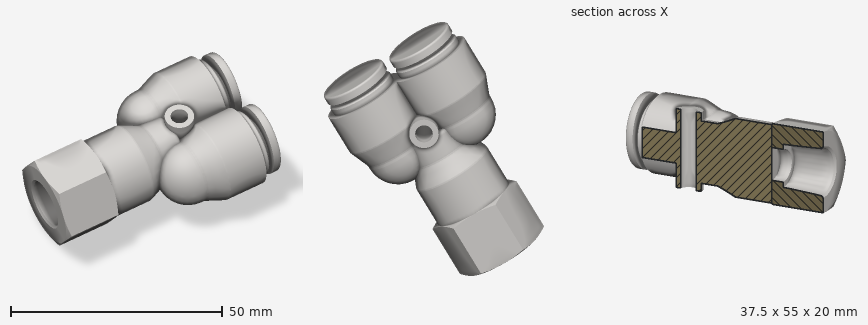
import cadquery as cq
import math


OVERALL_LENGTH = 55.0
NUT_LENGTH = 14.1
STEM_CONE_START = 24.15
STEM_CONE_END = 29.0
STEM_END = 35.0
DOME_CENTER = 34.05
PORT_CONE_START = 34.9
PORT_CONE_END = 40.0
PORT_FACE = 49.9
COLLAR_FACE = 51.7
FLANGE_BACK = 52.9
EYELET_Y = 37.0

BARREL_DIA = 19.5
SLIM_DIA = 15.5
OVERALL_WIDTH = 37.5
PORT_OFFSET = (OVERALL_WIDTH - BARREL_DIA) / 2
PORT_PLACES = (-PORT_OFFSET, PORT_OFFSET)
BLEND_RADIUS = 1.0
EYELET_DIA = 7.0
EYELET_HOLE_DIA = 4.2

HEX_SIDES = 6
NUT_ACROSS_FLATS = 20.0
NUT_BEVEL_ANGLE = 22.0
THREAD_MOUTH_DIA = 11.55
THREAD_FLOOR_DIA = 10.5
THREAD_DEPTH = 11.0
THREAD_CHAMFER = 0.5
PASSAGE_DIA = 8.0

COLLAR_DIA = 16.5
COLLAR_CHAMFER = 0.3
NECK_DIA = 11.7
FLANGE_WIDTH = 16.3
FLANGE_HEIGHT = 18.65
FLANGE_ROUND = 0.5


def disk(diameter, y_start, y_end):
    """Cylinder along Y, centred on X = 0, Z = 0."""
    plane = cq.Workplane("XZ", origin=(0, y_start, 0))
    return plane.circle(diameter / 2).extrude(y_start - y_end)


def revolve_about_y(profile):
    """Full turn of an XY profile about the Y axis."""
    return profile.revolve(360, (0, 0, 0), (0, 1, 0))


def round_edges_at(shape, y_places):
    """Blend the circular edges that lie at the given Y places."""
    circles = shape.edges("%CIRCLE")
    chosen = circles.filter(lambda edge: round(edge.Center().y, 3) in y_places)
    return chosen.fillet(BLEND_RADIUS)



def make_stem():
    profile = (
        cq.Workplane("XY")
        .moveTo(0, NUT_LENGTH)
        .lineTo(BARREL_DIA / 2, NUT_LENGTH)
        .lineTo(BARREL_DIA / 2, STEM_CONE_START)
        .lineTo(SLIM_DIA / 2, STEM_CONE_END)
        .lineTo(SLIM_DIA / 2, STEM_END)
        .lineTo(0, STEM_END)
        .close()
    )
    return round_edges_at(revolve_about_y(profile), [STEM_CONE_START, STEM_CONE_END, STEM_END])


def make_port():
    dome_radius = SLIM_DIA / 2
    dome_diagonal = dome_radius * math.sqrt(0.5)
    profile = (
        cq.Workplane("XY")
        .moveTo(0, DOME_CENTER - dome_radius)
        .threePointArc((dome_diagonal, DOME_CENTER - dome_diagonal), (dome_radius, DOME_CENTER))
        .lineTo(dome_radius, PORT_CONE_START)
        .lineTo(BARREL_DIA / 2, PORT_CONE_END)
        .lineTo(BARREL_DIA / 2, PORT_FACE)
        .lineTo(0, PORT_FACE)
        .close()
    )
    return round_edges_at(revolve_about_y(profile), [PORT_CONE_START, PORT_CONE_END])


def make_body():
    body = make_stem()
    for x in PORT_PLACES:
        body = body.union(make_port().translate((x, 0, 0)))
    eyelet_plane = cq.Workplane("XY", origin=(0, EYELET_Y, 0))
    eyelet = eyelet_plane.circle(EYELET_DIA / 2).extrude(BARREL_DIA / 2, both=True)
    hole = eyelet_plane.circle(EYELET_HOLE_DIA / 2).extrude(BARREL_DIA / 2, both=True)
    return body.union(eyelet).cut(hole)



def make_nut_blank():
    across_corners = NUT_ACROSS_FLATS / math.cos(math.pi / HEX_SIDES)
    hexagon = cq.Workplane("XZ").polygon(HEX_SIDES, across_corners).extrude(-NUT_LENGTH)
    corner_overhang = (across_corners - NUT_ACROSS_FLATS) / 2
    bevel_height = corner_overhang * math.tan(math.radians(NUT_BEVEL_ANGLE))
    bevelled_envelope = (
        cq.Workplane("XY")
        .moveTo(0, 0)
        .lineTo(NUT_ACROSS_FLATS / 2, 0)
        .lineTo(across_corners / 2, bevel_height)
        .lineTo(across_corners / 2, NUT_LENGTH - bevel_height)
        .lineTo(NUT_ACROSS_FLATS / 2, NUT_LENGTH)
        .lineTo(0, NUT_LENGTH)
        .close()
    )
    return hexagon.intersect(revolve_about_y(bevelled_envelope))


def make_nut_bore():
    mouth_radius = THREAD_MOUTH_DIA / 2
    profile = (
        cq.Workplane("XY")
        .moveTo(0, 0)
        .lineTo(mouth_radius + THREAD_CHAMFER, 0)
        .lineTo(mouth_radius, THREAD_CHAMFER)
        .lineTo(THREAD_FLOOR_DIA / 2, THREAD_DEPTH)
        .lineTo(PASSAGE_DIA / 2, THREAD_DEPTH)
        .lineTo(PASSAGE_DIA / 2, NUT_LENGTH)
        .lineTo(0, NUT_LENGTH)
        .close()
    )
    return revolve_about_y(profile)


def make_nut():
    return make_nut_blank().cut(make_nut_bore())



def make_collar(x):
    collar = disk(COLLAR_DIA, PORT_FACE, COLLAR_FACE)
    return collar.faces(">Y").chamfer(COLLAR_CHAMFER).translate((x, 0, 0))



def make_button(x):
    flange = (
        cq.Workplane("XZ", origin=(0, FLANGE_BACK, 0))
        .ellipse(FLANGE_WIDTH / 2, FLANGE_HEIGHT / 2)
        .extrude(FLANGE_BACK - OVERALL_LENGTH)
    )
    flange = flange.faces(">Y").edges().fillet(FLANGE_ROUND)
    neck = disk(NECK_DIA, COLLAR_FACE, FLANGE_BACK)
    return flange.union(neck).translate((x, 0, 0))


body = make_body()
nut = make_nut()
collars = []
buttons = []
for port_x in PORT_PLACES:
    collars.append(make_collar(port_x).val())
    buttons.append(make_button(port_x).val())

result = cq.Compound.makeCompound([body.val(), nut.val(), *collars, *buttons])